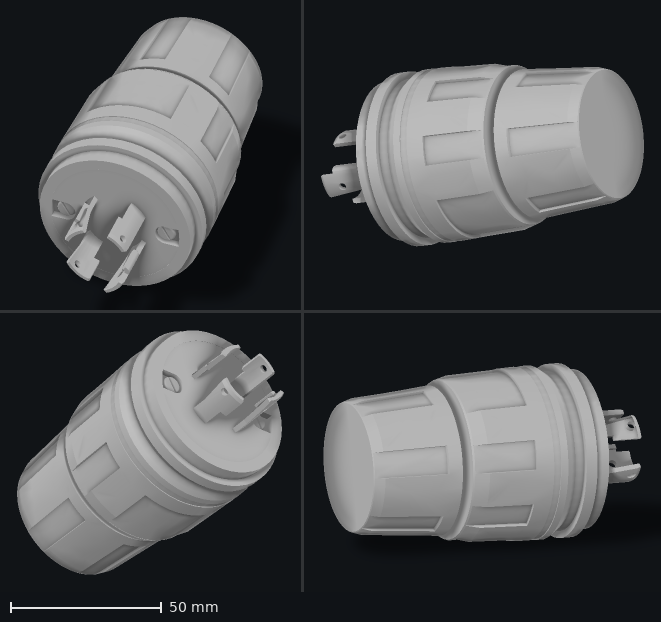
import cadquery as cq
import math


TOTAL_LENGTH = 105.3
BACK_Y = 82.7
FLANGE_FRONT_Y = 5.2
FLANGE_BACK_Y = 9.1
CONE_FRONT_Y = 12.1
CONE_BACK_Y = 15.7
GROOVE_FRONT_Y = 18.2
GROOVE_BACK_Y = 20.8
SHOULDER_Y = 43.6
RIM_Y = 48.3
HOUSING_BACK_Y = 49.0

FLANGE_R = 58.0 / 2
NOSE_R = 26.6
GROOVE_R = 28.6
GRIP_FRONT_R = 29.0
SHOULDER_R = 28.1
RIM_R = 26.9
HOUSING_BACK_R = 26.5

THREAD_ROOT_R = 17.3
THREAD_CREST_R = 18.0
THREAD_PITCH = 1.3
THREAD_TURNS = 2

CAP_FRONT_Y = 52.0
CAP_SHOULDER_Y = 79.0
CAP_RIM_Y = 82.4
CAP_FRONT_R = 25.1
CAP_SHOULDER_R = 22.9
CAP_RIM_R = 21.8
CAP_BACK_R = 21.5

HOUSING_GRIPS = ((25, 45), (70, 135), (160, 180))
GRIP_Y = 26.9
GRIP_FLOOR_FRONT_R = 27.6
GRIP_FLOOR_BACK_R = 26.8

SLOT_COUNT = 6
SLOT_START = 37.5
SLOT_ANGLE = 22.5
SLOT_Y = 56.6
SLOT_WALL_RUN = 0.6
SLOT_FLOOR_FRONT_R = 23.7
SLOT_FLOOR_BACK_R = 21.7
CLEAR_R = 31.6

INSERT_R = 22.8
INSERT_INSET = 0.1
SCREW_X = 17.7
POCKET_R = 3.7
POCKET_DEPTH = 2.6
SCREW_R = 3.2
SCREW_HEIGHT = 1.6
SCREW_EDGE = 0.6
DRIVER_SLOT_WIDTH = 0.8
DRIVER_SLOT_DEPTH = 0.7
DRIVER_SLOT_ANGLE = 60

BLADE_INNER_R = 10.5
BLADE_OUTER_R = 12.2
BLADE_MID_R = (BLADE_INNER_R + BLADE_OUTER_R) / 2
BLADE_ROOT_Y = 1.1
BLADE_STEP_Y = -8.4
TAPER_START_Y = -6.5
BLADE_TIP_Y = -18.3
GROUND_TIP_Y = BACK_Y - TOTAL_LENGTH
BLADE_HOLE_Y = -15.6
BLADE_HOLE_R = 1.4
TIP_BEVEL = 0.5
TIP_CORNER = 0.4
BLADE_BEVEL_LENGTH = 1.4
GROUND_BEVEL_LENGTH = 1.0
TAPER_OVERLAP = 10

GROUND_CENTRE = -45
HOOK_TIP_Y = -17.8
HOOK_ROOT_ANGLE = -28
HOOK_BEND_ANGLE = -18
HOOK_INNER_CORNER = (9.1, -2.6)
HOOK_OUTER_CORNER = (10.0, -1.4)
HOOK_ROUND_START = (11.2, -2.3)
HOOK_ROUND_MIDDLE = (11.6, -3.0)


def sector(profile, start, end):
    """Revolve an (r, y) outline about the Y axis from the start to the end angle."""
    turned = cq.Workplane("XY").polyline(profile).close().revolve(end - start, (0, 0), (0, -1))
    return turned.rotate((0, 0, 0), (0, -1, 0), start)


def cylinder(x, radius, front_y, back_y):
    """Cylinder parallel to Y, centred at x in the plane z = 0."""
    base = cq.Workplane("XZ", origin=(x, front_y, 0))
    return base.circle(radius).extrude(front_y - back_y)


def housing_and_cap():
    outline = [
        (0, 0),
        (NOSE_R, 0),
        (NOSE_R, FLANGE_FRONT_Y),
        (FLANGE_R, FLANGE_FRONT_Y),
        (FLANGE_R, FLANGE_BACK_Y),
        (NOSE_R, FLANGE_BACK_Y),
        (NOSE_R, CONE_FRONT_Y),
        (FLANGE_R, CONE_BACK_Y),
        (FLANGE_R, GROOVE_FRONT_Y),
        (GROOVE_R, GROOVE_FRONT_Y),
        (GROOVE_R, GROOVE_BACK_Y),
        (GRIP_FRONT_R, GROOVE_BACK_Y),
        (SHOULDER_R, SHOULDER_Y),
        (RIM_R, RIM_Y),
        (HOUSING_BACK_R, HOUSING_BACK_Y),
        (THREAD_ROOT_R, HOUSING_BACK_Y),
    ]
    for turn in range(THREAD_TURNS):
        crest_y = HOUSING_BACK_Y + (turn + 0.5) * THREAD_PITCH
        outline.append((THREAD_CREST_R, crest_y))
        outline.append((THREAD_ROOT_R, crest_y + THREAD_PITCH / 2))
    outline += [
        (THREAD_ROOT_R, CAP_FRONT_Y),
        (CAP_FRONT_R, CAP_FRONT_Y),
        (CAP_SHOULDER_R, CAP_SHOULDER_Y),
        (CAP_RIM_R, CAP_RIM_Y),
        (CAP_BACK_R, BACK_Y),
        (0, BACK_Y),
    ]
    return sector(outline, 0, 360)


def housing_grip(start, end):
    profile = [
        (GRIP_FLOOR_FRONT_R, GRIP_Y),
        (CLEAR_R, GRIP_Y),
        (CLEAR_R, RIM_Y),
        (GRIP_FLOOR_BACK_R, RIM_Y),
    ]
    return sector(profile, start, end)


def cap_slot(start):
    profile = [
        (SLOT_FLOOR_FRONT_R, SLOT_Y + SLOT_WALL_RUN),
        (CAP_FRONT_R, SLOT_Y),
        (CLEAR_R, SLOT_Y),
        (CLEAR_R, CAP_RIM_Y),
        (SLOT_FLOOR_BACK_R, CAP_RIM_Y),
    ]
    return sector(profile, start, start + SLOT_ANGLE)


def screw_pocket(side):
    """Round-ended pocket that runs out to the edge of the insert."""
    x = side * SCREW_X
    run_out = cq.Workplane("XY").box(INSERT_R, POCKET_DEPTH, 2 * POCKET_R)
    run_out = run_out.translate((x + side * INSERT_R / 2, POCKET_DEPTH / 2, 0))
    pocket = cylinder(x, POCKET_R, 0, POCKET_DEPTH).union(run_out)
    return pocket.intersect(cylinder(0, INSERT_R, 0, POCKET_DEPTH))


def screw(side):
    x = side * SCREW_X
    top_y = POCKET_DEPTH - SCREW_HEIGHT
    head = cylinder(x, SCREW_R, top_y, POCKET_DEPTH).faces("<Y").edges().fillet(SCREW_EDGE)
    slot = cq.Workplane("XY").box(2 * SCREW_R, 2 * DRIVER_SLOT_DEPTH, DRIVER_SLOT_WIDTH)
    slot = slot.rotate((0, 0, 0), (0, 1, 0), DRIVER_SLOT_ANGLE).translate((x, top_y, 0))
    return head.cut(slot)


def blade_sector(start, end, front_y, back_y, bevel_length=0):
    """Curved plate of the blade ring, with its outer front edge bevelled if asked."""
    profile = [(BLADE_INNER_R, back_y), (BLADE_INNER_R, front_y)]
    if bevel_length:
        profile.append((BLADE_OUTER_R - TIP_BEVEL, front_y))
    profile += [(BLADE_OUTER_R, front_y + bevel_length), (BLADE_OUTER_R, back_y)]
    return sector(profile, start, end)


def taper_waste(stem_angle, tip_angle, tip_y):
    """Material to remove beside a slanted blade edge, for a blade centred on +X."""
    stem_z = BLADE_MID_R * math.sin(math.radians(stem_angle))
    tip_z = BLADE_MID_R * math.sin(math.radians(tip_angle))
    outline = [
        (BLADE_ROOT_Y, stem_z),
        (TAPER_START_Y, stem_z),
        (tip_y, tip_z),
        (tip_y, -BLADE_OUTER_R),
        (BLADE_ROOT_Y, -BLADE_OUTER_R),
    ]
    return cq.Workplane("YZ").polyline(outline).close().extrude(2 * BLADE_OUTER_R)


def blade(centre, stem, head, tip_y=BLADE_TIP_Y, bevel_length=BLADE_BEVEL_LENGTH):
    """Blade with a stepped side and, where stem and head differ, a slanted one.

    stem and head are the (slanted side, stepped side) angles relative to the centre.
    """
    tapered = stem[0] != head[0]
    low = head[0] - TAPER_OVERLAP if tapered else head[0]
    plate = blade_sector(low, stem[1], BLADE_STEP_Y, BLADE_ROOT_Y)
    plate = plate.union(blade_sector(low, head[1], tip_y, BLADE_STEP_Y, bevel_length))
    if tapered:
        plate = plate.cut(taper_waste(stem[0], head[0], tip_y))
    plate = plate.faces("<Y").edges("%LINE").chamfer(TIP_CORNER)
    hole = cq.Workplane("YZ").center(BLADE_HOLE_Y, 0).circle(BLADE_HOLE_R).extrude(2 * BLADE_OUTER_R)
    return plate.cut(hole).rotate((0, 0, 0), (0, -1, 0), centre)


def ring_point(radius, angle):
    """(x, z) position on a ring about the Y axis."""
    return radius * math.cos(math.radians(angle)), radius * math.sin(math.radians(angle))


def ground_hook():
    """Inward-bent key along the stepped side of the ground blade."""
    web = blade_sector(HOOK_ROOT_ANGLE, HOOK_BEND_ANGLE, HOOK_TIP_Y, BLADE_STEP_Y)
    bend = (
        cq.Workplane("XZ", origin=(0, BLADE_STEP_Y, 0))
        .moveTo(*ring_point(BLADE_INNER_R, HOOK_BEND_ANGLE))
        .lineTo(*HOOK_INNER_CORNER)
        .lineTo(*HOOK_OUTER_CORNER)
        .lineTo(*HOOK_ROUND_START)
        .threePointArc(HOOK_ROUND_MIDDLE, ring_point(BLADE_OUTER_R, HOOK_BEND_ANGLE))
        .close()
        .extrude(BLADE_STEP_Y - HOOK_TIP_Y)
    )
    end_x = (HOOK_INNER_CORNER[0] + HOOK_OUTER_CORNER[0]) / 2
    end_z = (HOOK_INNER_CORNER[1] + HOOK_OUTER_CORNER[1]) / 2
    end_edge = cq.selectors.NearestToPointSelector((end_x, HOOK_TIP_Y, end_z))
    bend = bend.faces("<Y").edges(end_edge).chamfer(TIP_CORNER)
    return web.union(bend)


body = housing_and_cap()

for half_turn in (0, 180):
    for grip_start, grip_end in HOUSING_GRIPS:
        body = body.cut(housing_grip(grip_start + half_turn, grip_end + half_turn))

for index in range(SLOT_COUNT):
    body = body.cut(cap_slot(SLOT_START + index * 360 / SLOT_COUNT))

body = body.cut(cylinder(0, INSERT_R, 0, INSERT_INSET))
for screw_side in (-1, 1):
    body = body.cut(screw_pocket(screw_side)).union(screw(screw_side))

body = body.union(blade(45, stem=(-17, 16.5), head=(-17, 24)))
body = body.union(blade(135, stem=(-8.7, 16.5), head=(-23.5, 24)))
body = body.union(blade(225, stem=(-10.6, 21), head=(-18.6, 32.5)))
body = body.union(
    blade(
        GROUND_CENTRE,
        stem=(-8.7, 19),
        head=(-20.5, 23),
        tip_y=GROUND_TIP_Y,
        bevel_length=GROUND_BEVEL_LENGTH,
    )
)
body = body.union(ground_hook())

result = body